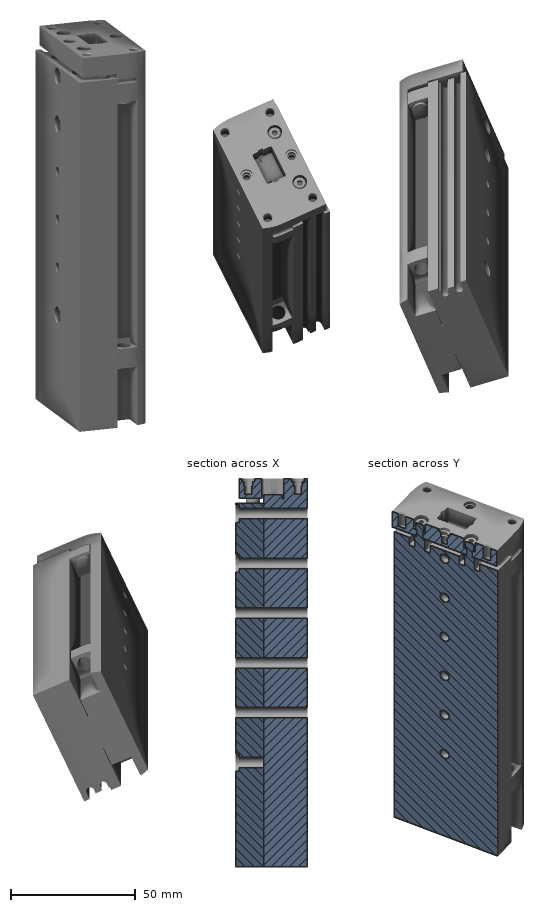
import cadquery as cq
import math

total_length = 156.0
total_depth = 29.0
body_width = 50.0
table_width = 49.3

curve_start_y = 20.9
curve_radius = 21.8

plate_front_y = 1.5
plate_thickness = 8.1
plate_bottom_z = total_length - plate_thickness
web_front_y = 16.5
web_half_width = 15.3
back_plate_front_y = 25.1
pocket_fillet = 1.9
pocket_chamfer = 1.5
lug_bottom_z = 24.5
lug_top_z = 32.8
left_pocket_top_z = 146.8
right_pocket_top_z = 145.4
lug_bore_diameter = 6.0

rail_width = 12.0
rail_front_y = 11.2
rail_shoulder_width = 14.8
rail_shoulder_y = 15.8
rail_groove_depth = 1.5
rail_groove_start_y = 16.0
rail_groove_end_y = 17.6
rail_back_y = 18.9
rail_top_z = 149.5

window_width = 14.0
window_front_y = 10.8
window_corner_chamfer = 0.5
window_back_y = 19.3
window_wing_width = 15.1
window_wing_front_y = 14.4
window_wing_back_y = 16.5

body_length = 146.0
body_back_y = 16.2
tab_bottom_z = 135.9
tab_top_z = 143.7
tab_front_y = 13.9
tab_back_y = 24.8
tab_inner_x = 16.2

slot_face_recess = 1.2
slot_face_start_y = 2.3
slot_face_end_y = 11.4
slot_ledge_y = 11.9
slot_ledge_depth = 1.4
front_slot_width = 3.3
rear_slot_mouth_width = 3.3
rear_slot_mouth_depth = 2.2
rear_slot_width = 2.8
slot_bottom_depth = 4.7

stop_x = 20.3
stop_y = 20.7
bumper_diameter = 7.0
bumper_height = 1.1

rod_x = 11.7
rod_y = 7.0
rod_diameter = 5.6
rod_neck_diameter = 3.7
rod_head_bore_diameter = 6.0
rod_head_diameter = 5.0
rod_head_bottom_z = 151.3
rod_head_top_z = 154.9
rod_head_chamfer = 0.5
rod_socket_diameter = 2.5
rod_socket_depth = 1.9
gland_diameter = 10.0
gland_depth = 3.9

plug_x = 20.0
plug_y = 11.2
plug_diameter = 6.5
plug_height = 1.0
plug_stub_diameter = 3.5
plug_stub_height = 1.4

mount_diameter = 4.0
mount_first_z = 141.8
mount_pitch = 20.0
mount_count = 6
mount_through_count = 5
mount_counterbored = (0, 1, 5)
mount_counterbore_diameter = 7.0
mount_counterbore_depth = 1.4

plate_hole_front_y = 5.1
plate_hole_back_y = 25.1
corner_hole_x = 20.0
corner_hole_diameter = 4.0
corner_thread_diameter = 3.3
corner_chamfer_depth = 0.5
centre_counterbore_diameter = 5.0
centre_counterbore_depth = 1.2
centre_hole_diameter = 3.5
centre_thread_diameter = 2.5
centre_hole_depth = 3.1
plate_hole_depth = 6.2


def box(x0, x1, y0, y1, z0, z1):
    """Block between two opposite corners."""
    return cq.Workplane("XY").box(x1 - x0, y1 - y0, z1 - z0, centered=False).translate((x0, y0, z0))


def cylinder(diameter, x, y, z0, z1):
    """Upright cylinder between two heights."""
    return cq.Workplane("XY", origin=(x, y, z0)).circle(diameter / 2).extrude(z1 - z0)


def front_bore(diameter, z, y0, y1):
    """Cylinder along Y on the centre line, between two depths."""
    plane = cq.Plane(origin=(0, y0, z), xDir=(1, 0, 0), normal=(0, 1, 0))
    return cq.Workplane(plane).circle(diameter / 2).extrude(y1 - y0)


def mount_z(index):
    """Height of a mounting hole, counted from the top."""
    return mount_first_z - index * mount_pitch


def curved_inset(y):
    """How far the rounded side has moved inward at depth y."""
    return curve_radius - math.sqrt(curve_radius**2 - (y - curve_start_y) ** 2)


def round_sided_block(width, y0, y1, z0, z1):
    """Block whose two sides turn inward along an arc behind curve_start_y."""
    half = width / 2
    y_mid = (curve_start_y + y1) / 2
    x_mid = half - curved_inset(y_mid)
    x_end = half - curved_inset(y1)
    return (
        cq.Workplane("XY", origin=(0, 0, z0))
        .moveTo(-half, y0)
        .lineTo(half, y0)
        .lineTo(half, curve_start_y)
        .threePointArc((x_mid, y_mid), (x_end, y1))
        .lineTo(-x_end, y1)
        .threePointArc((-x_mid, y_mid), (-half, curve_start_y))
        .close()
        .extrude(z1 - z0)
    )


def side_pocket(side, z0, z1):
    """Pocket beside the web, its inner top edge rounded."""
    inner = side * web_half_width
    outer = side * body_width / 2
    pocket = box(min(inner, outer), max(inner, outer), web_front_y, back_plate_front_y, z0, z1)
    inner_edge = "<X" if side > 0 else ">X"
    return pocket.faces(inner_edge).edges(">Z").fillet(pocket_fillet)


def upper_pocket(side, z1):
    """Pocket above the stop lug, with a sloped inner bottom edge."""
    inner_edge = "<X" if side > 0 else ">X"
    return side_pocket(side, lug_top_z, z1).faces(inner_edge).edges("<Z").chamfer(pocket_chamfer)


def end_plate_window():
    """Opening over the rail, wider across its middle."""
    z0 = plate_bottom_z
    main = box(-window_width / 2, window_width / 2, window_front_y, window_back_y, z0, total_length)
    main = main.edges("|Z").chamfer(window_corner_chamfer)
    wing = box(
        -window_wing_width / 2, window_wing_width / 2,
        window_wing_front_y, window_wing_back_y, z0, total_length,
    )
    return main.union(wing)


def rail_space():
    """Front part of the rail, which also sets the channel it runs in."""
    neck = box(-rail_width / 2, rail_width / 2, rail_front_y, web_front_y, 0, plate_bottom_z)
    shoulder = box(
        -rail_shoulder_width / 2, rail_shoulder_width / 2,
        rail_shoulder_y, web_front_y, 0, plate_bottom_z,
    )
    return neck.union(shoulder)


def rail_top():
    """Grooved top end of the rail, standing on the floor of the window."""
    z0 = plate_bottom_z
    top = box(-rail_width / 2, rail_width / 2, rail_front_y, rail_back_y, z0, rail_top_z)
    groove_floor = rail_width / 2 - rail_groove_depth
    for x0 in (-rail_width / 2, groove_floor):
        groove = box(
            x0, x0 + rail_groove_depth, rail_groove_start_y, rail_groove_end_y, z0, rail_top_z
        )
        top = top.cut(groove)
    return top


def corner_hole(x, y):
    """Threaded hole with a countersunk mouth."""
    thread = cylinder(corner_thread_diameter, x, y, total_length - plate_hole_depth, total_length)
    mouth = (
        cq.Workplane("XY", origin=(x, y, total_length))
        .circle(corner_hole_diameter / 2)
        .workplane(offset=-corner_chamfer_depth)
        .circle(corner_thread_diameter / 2)
        .loft()
    )
    return thread.union(mouth)


def centre_hole(y):
    """Stepped hole on the centre line of the end plate."""
    steps = (
        (centre_counterbore_diameter, centre_counterbore_depth),
        (centre_hole_diameter, centre_hole_depth),
        (centre_thread_diameter, plate_hole_depth),
    )
    hole = cq.Workplane("XY")
    for diameter, depth in steps:
        hole = hole.union(cylinder(diameter, 0, y, total_length - depth, total_length))
    return hole


def make_table():
    """Sliding table: end plate and grooved back carrying the guide rail."""
    table = round_sided_block(table_width, web_front_y, total_depth, 0, total_length)
    table = table.union(
        round_sided_block(table_width, plate_front_y, total_depth, plate_bottom_z, total_length)
    )
    for side, pocket_top in ((-1, left_pocket_top_z), (1, right_pocket_top_z)):
        table = table.cut(side_pocket(side, 0, lug_bottom_z))
        table = table.cut(upper_pocket(side, pocket_top))
        table = table.cut(
            cylinder(lug_bore_diameter, side * stop_x, stop_y, lug_bottom_z, lug_top_z)
        )

    table = table.union(rail_space()).cut(end_plate_window()).union(rail_top())

    for y in (plate_hole_front_y, plate_hole_back_y):
        table = table.cut(centre_hole(y))
        for x in (-corner_hole_x, corner_hole_x):
            table = table.cut(corner_hole(x, y))

    for x in (-rod_x, rod_x):
        table = table.cut(cylinder(rod_neck_diameter, x, rod_y, plate_bottom_z, total_length))
        table = table.cut(cylinder(rod_head_bore_diameter, x, rod_y, rod_head_bottom_z, total_length))

    for index in range(mount_through_count):
        table = table.cut(front_bore(mount_diameter, mount_z(index), 0, total_depth))
    return table


def side_slot(y, width):
    """Lengthwise slot in the -X side with a round bottom."""
    side_x = -body_width / 2
    centre_x = side_x + slot_bottom_depth - width / 2
    straight = box(side_x, centre_x, y - width / 2, y + width / 2, 0, body_length)
    return straight.union(cylinder(width, centre_x, y, 0, body_length))


def side_slots():
    """Recessed strip of the -X side with its two lengthwise slots."""
    side_x = -body_width / 2
    front_slot_y = slot_face_start_y + front_slot_width / 2
    rear_slot_y = slot_face_end_y - rear_slot_width / 2
    recess = box(
        side_x, side_x + slot_face_recess, slot_face_start_y, slot_face_end_y, 0, body_length
    )
    ledge = box(side_x, side_x + slot_ledge_depth, slot_face_end_y, slot_ledge_y, 0, body_length)
    mouth = box(
        side_x, side_x + rear_slot_mouth_depth,
        slot_face_end_y - rear_slot_mouth_width, slot_face_end_y, 0, body_length,
    )
    front_slot = side_slot(front_slot_y, front_slot_width)
    rear_slot = side_slot(rear_slot_y, rear_slot_width)
    return recess.union(ledge).union(mouth).union(front_slot).union(rear_slot)


def stop_tabs():
    """Tabs at both sides of the body's upper end, each with a bumper below."""
    tabs = round_sided_block(body_width, tab_front_y, tab_back_y, tab_bottom_z, tab_top_z)
    tabs = tabs.cut(box(-tab_inner_x, tab_inner_x, 0, total_depth, tab_bottom_z, tab_top_z))
    for x in (-stop_x, stop_x):
        bumper = cylinder(bumper_diameter, x, stop_y, tab_bottom_z - bumper_height, tab_bottom_z)
        tabs = tabs.union(bumper)
    return tabs


def piston_rod(x):
    """Rod rising from its gland recess, the neck and bolt head held in the end plate."""
    rod = cylinder(rod_diameter, x, rod_y, body_length - gland_depth, plate_bottom_z)
    neck = cylinder(rod_neck_diameter, x, rod_y, plate_bottom_z, rod_head_bottom_z)
    head = cylinder(rod_head_diameter, x, rod_y, rod_head_bottom_z, rod_head_top_z)
    head = head.faces(">Z").edges().chamfer(rod_head_chamfer)
    socket = (
        cq.Workplane("XY", origin=(x, rod_y, rod_head_top_z))
        .transformed(rotate=(0, 0, 90))
        .polygon(6, rod_socket_diameter)
        .extrude(-rod_socket_depth)
    )
    return rod.union(neck).union(head.cut(socket))


def port_plug():
    """Stepped plug standing on the body's top."""
    flange = cylinder(plug_diameter, plug_x, plug_y, body_length, body_length + plug_height)
    stub = cylinder(plug_stub_diameter, plug_x, plug_y, body_length, body_length + plug_stub_height)
    return flange.union(stub)


def make_body():
    """Cylinder body with rail channel, side slots, stop tabs, rods and plug."""
    half = body_width / 2
    body = box(-half, half, 0, body_back_y, 0, body_length)
    body = body.cut(side_slots()).union(stop_tabs()).cut(rail_space())

    for index in range(mount_count):
        z = mount_z(index)
        body = body.cut(front_bore(mount_diameter, z, 0, rail_front_y))
        if index in mount_counterbored:
            body = body.cut(front_bore(mount_counterbore_diameter, z, 0, mount_counterbore_depth))

    for x in (-rod_x, rod_x):
        gland = cylinder(gland_diameter, x, rod_y, body_length - gland_depth, body_length)
        body = body.cut(gland).union(piston_rod(x))
    return body.union(port_plug())


table = make_table()
body = make_body()

result = cq.Compound.makeCompound([table.val(), body.val()])